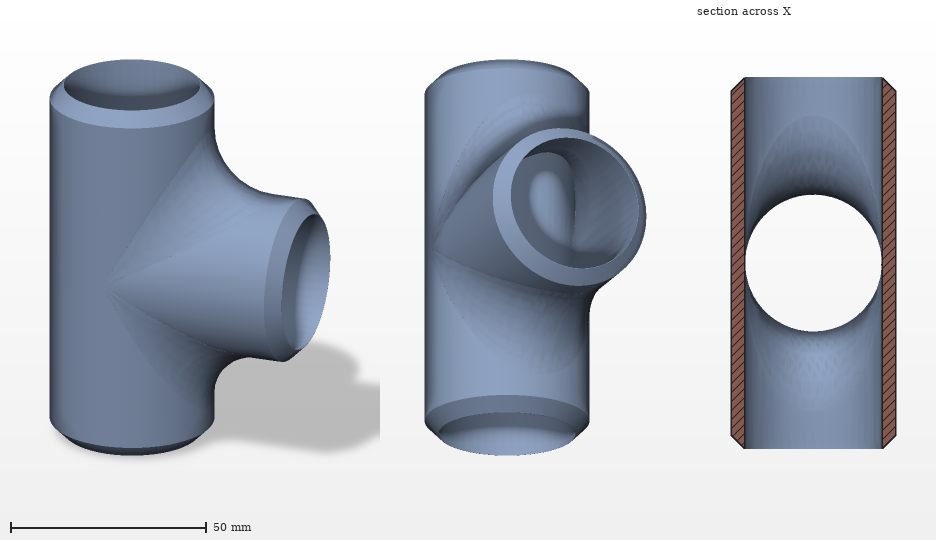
import cadquery as cq
import math

reach = 47.6
outer_radius = 21.1
wall = 3.6
bore_radius = outer_radius - wall
bevel = 3.5
crotch_radius = 16.8
blend_reach = outer_radius + crotch_radius

section_count = 25
blend_margin = 0.02
last_section_angle = 88.0


def run_cylinder(radius):
    return cq.Workplane("XY").circle(radius).extrude(2 * reach).translate((0, 0, -reach))


def branch_cylinder(radius):
    return cq.Workplane("YZ").circle(radius).extrude(reach)


def blend_section(radius, angle):
    """Section of the upper crotch at one depth across the pipe, shrinking towards the sides."""
    shrink = math.cos(math.radians(angle))
    depth = radius * math.sin(math.radians(angle))
    near = radius * shrink
    far = blend_reach * shrink
    middle = far - (far - near) * math.sqrt(0.5)
    sketch = (
        cq.Workplane("XZ", origin=(0, depth, 0))
        .moveTo(0, 0)
        .lineTo(near, far)
        .threePointArc((middle, middle), (far, near))
        .close()
    )
    return sketch.val()


def crotch_blend(radius):
    """Upper and lower blends between a run and a branch of the given radius."""
    angle_step = 2 * last_section_angle / (section_count - 1)
    angles = [-last_section_angle + i * angle_step for i in range(section_count)]
    sections = [blend_section(radius, angle) for angle in angles]
    upper = cq.Workplane(cq.Solid.makeLoft(sections))
    return upper, upper.mirror("XY")


def tee(radius, run, branch):
    upper, lower = crotch_blend(radius + blend_margin)
    return run.union(branch).union(upper).union(lower)


outer_run = run_cylinder(outer_radius).faces("<Z or >Z").chamfer(bevel)
outer_branch = branch_cylinder(outer_radius).faces(">X").chamfer(bevel)
outside = tee(outer_radius, outer_run, outer_branch)
inside = tee(bore_radius, run_cylinder(bore_radius), branch_cylinder(bore_radius))

result = outside.cut(inside)